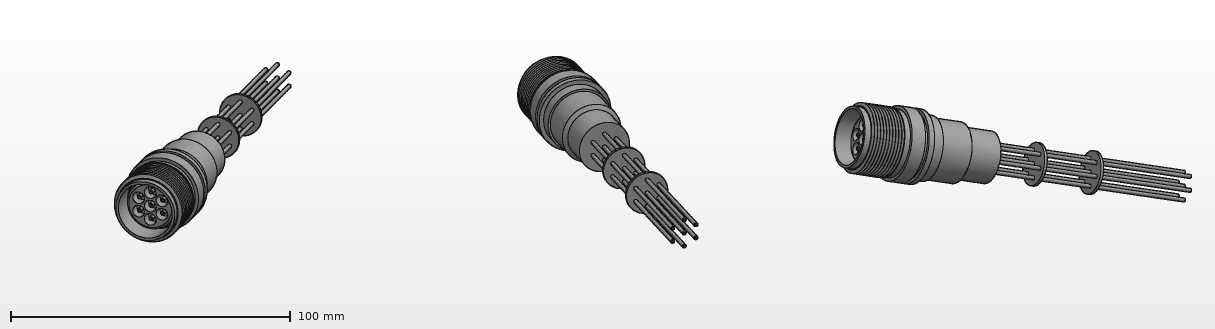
import cadquery as cq
import math

TOTAL_LENGTH = 138.5

RIM_RADIUS = 11.2
NECK_RADIUS = 12.5
NECK_END = 18.0
FLANGE_RADIUS = 13.7
FLANGE_END = 23.5
GROOVE_END = 25.1
COLLAR_END = 27.3
STEP_RADIUS = 12.0
STEP_END = 31.9
BODY_RADIUS = RIM_RADIUS
BODY_END = 44.2
TAPER_END = 45.2
REAR_RADIUS = 9.5
REAR_END = 57.1

THREAD_START = 2.5
THREAD_ROOT_RADIUS = 11.6
THREAD_CREST_RADIUS = 12.9
THREAD_PITCH = 1.2
FIRST_CREST = 3.0
CREST_COUNT = 11

SOCKET_RADIUS = 10.3
SOCKET_DEPTH = 9.7
INSERT_FOOT_RADIUS = 9.8
INSERT_SHOULDER_RADIUS = 9.0
INSERT_SHOULDER = 6.1
INSERT_FACE_RADIUS = 8.2
INSERT_FACE = 5.3

RING_CONTACT_COUNT = 6
FIRST_CONTACT_ANGLE = 90
CONTACT_CIRCLE_RADIUS = 5.1
POCKET_RADIUS = 2.2
POCKET_DEPTH = 4.2

WIRE_RADIUS = 0.76
PIN_SETBACK = 0.4
WIRE_TIP_CHAMFER = 0.35
DISC_RADIUS = 7.9
DISC_THICKNESS = 1.1
DISC_STARTS = (76.0, 99.3)


def cylinder(radius, start, end, x=0.0, z=0.0):
    """A cylinder along +Y from `start` to `end`, centred on (x, z)."""
    return cq.Workplane("XZ", origin=(x, start, z)).circle(radius).extrude(start - end)


def contact_centres():
    """The (x, z) centres of the middle contact and of the ring around it."""
    centres = [(0.0, 0.0)]
    for index in range(RING_CONTACT_COUNT):
        angle = math.radians(FIRST_CONTACT_ANGLE + 360 * index / RING_CONTACT_COUNT)
        x = CONTACT_CIRCLE_RADIUS * math.cos(angle)
        z = CONTACT_CIRCLE_RADIUS * math.sin(angle)
        centres.append((x, z))
    return centres


def thread_outline():
    """Half-section points of the thread, from the rim to the neck."""
    points = [(THREAD_ROOT_RADIUS, THREAD_START)]
    for index in range(CREST_COUNT):
        crest = FIRST_CREST + index * THREAD_PITCH
        points.append((THREAD_CREST_RADIUS, crest))
        if index < CREST_COUNT - 1:
            points.append((THREAD_ROOT_RADIUS, crest + THREAD_PITCH / 2))
    neck_start = FIRST_CREST + (CREST_COUNT - 1) * THREAD_PITCH
    points.append((NECK_RADIUS, neck_start))
    return points


def make_shell():
    """The turned connector body with its front socket."""
    outline = [
        (0, INSERT_FACE),
        (INSERT_FACE_RADIUS, INSERT_FACE),
        (INSERT_SHOULDER_RADIUS, INSERT_SHOULDER),
        (INSERT_FOOT_RADIUS, SOCKET_DEPTH),
        (SOCKET_RADIUS, SOCKET_DEPTH),
        (SOCKET_RADIUS, 0),
        (RIM_RADIUS, 0),
        (RIM_RADIUS, THREAD_START),
        *thread_outline(),
        (NECK_RADIUS, NECK_END),
        (FLANGE_RADIUS, NECK_END),
        (FLANGE_RADIUS, FLANGE_END),
        (NECK_RADIUS, FLANGE_END),
        (NECK_RADIUS, GROOVE_END),
        (FLANGE_RADIUS, GROOVE_END),
        (FLANGE_RADIUS, COLLAR_END),
        (STEP_RADIUS, COLLAR_END),
        (STEP_RADIUS, STEP_END),
        (BODY_RADIUS, STEP_END),
        (BODY_RADIUS, BODY_END),
        (REAR_RADIUS, TAPER_END),
        (REAR_RADIUS, REAR_END),
        (0, REAR_END),
    ]
    return cq.Workplane("XY").polyline(outline).close().revolve(360, (0, 0, 0), (0, 1, 0))


def cut_pockets(shell):
    """Sink a round contact pocket into the insert face at every contact."""
    for x, z in contact_centres():
        shell = shell.cut(cylinder(POCKET_RADIUS, INSERT_FACE, INSERT_FACE + POCKET_DEPTH, x, z))
    return shell


def make_wire(x, z):
    """A wire from inside its pocket to its free end, with both end edges chamfered."""
    wire = cylinder(WIRE_RADIUS, INSERT_FACE + PIN_SETBACK, TOTAL_LENGTH, x, z)
    return wire.faces("<Y or >Y").chamfer(WIRE_TIP_CHAMFER)


result = cut_pockets(make_shell())
for disc_start in DISC_STARTS:
    result = result.union(cylinder(DISC_RADIUS, disc_start, disc_start + DISC_THICKNESS))
for centre_x, centre_z in contact_centres():
    result = result.union(make_wire(centre_x, centre_z))